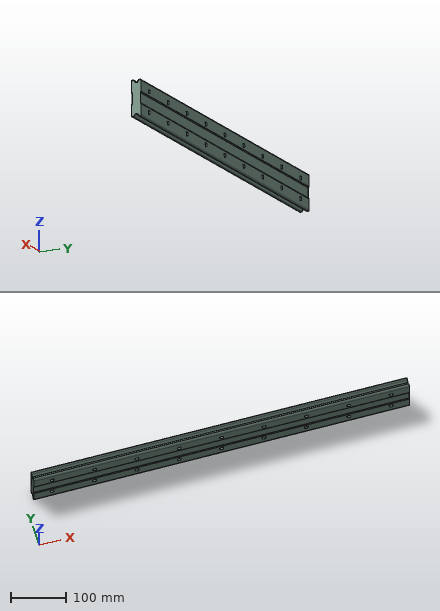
import cadquery as cq

length = 710.0
thickness = 19.0
height = 69.0

relief_depth = 1.5
relief_floor_height = 19.0
relief_mouth_height = 23.0

groove_depth = 5.0
groove_floor_width = 3.0
groove_mouth_width = 11.0

outer_lip_radius = 1.8
inner_lip_radius = 1.5

hole_diameter = 7.0
hole_count = 9
hole_end_margin = 35.0
hole_pitch = (length - 2 * hole_end_margin) / (hole_count - 1)
hole_row_spacing = 39.0


def rail_section():
    """Sharp-cornered outline in the YZ plane, mirrored from its upper +Y quarter."""
    half_thickness = thickness / 2
    half_height = height / 2
    quarter = [
        (half_thickness - relief_depth, relief_floor_height / 2),
        (half_thickness, relief_mouth_height / 2),
        (half_thickness, half_height),
        (groove_mouth_width / 2, half_height),
        (groove_floor_width / 2, half_height - groove_depth),
    ]
    upper_half = quarter + [(-y, z) for y, z in reversed(quarter)]
    lower_half = [(-y, -z) for y, z in upper_half]
    return upper_half + lower_half


def lip_edges(half_spacing):
    """Select the long edges at the full height, at this distance either side of the middle."""
    reach = 0.1
    corners = [(y, z) for y in (-half_spacing, half_spacing) for z in (-height / 2, height / 2)]
    boxes = [
        cq.selectors.BoxSelector((-length, y - reach, z - reach), (length, y + reach, z + reach))
        for y, z in corners
    ]
    return boxes[0] + boxes[1] + boxes[2] + boxes[3]


def make_rail():
    """Grooved bar along X with rounded lips, centred on the origin."""
    bar = cq.Workplane("YZ").polyline(rail_section()).close().extrude(length / 2, both=True)
    bar = bar.edges(lip_edges(thickness / 2)).fillet(outer_lip_radius)
    return bar.edges(lip_edges(groove_mouth_width / 2)).fillet(inner_lip_radius)


def make_holes():
    """Both rows of holes, centred on the rail and running through its thickness."""
    return (
        cq.Workplane("XZ")
        .rarray(hole_pitch, hole_row_spacing, hole_count, 2)
        .circle(hole_diameter / 2)
        .extrude(thickness, both=True)
    )


result = make_rail().cut(make_holes())